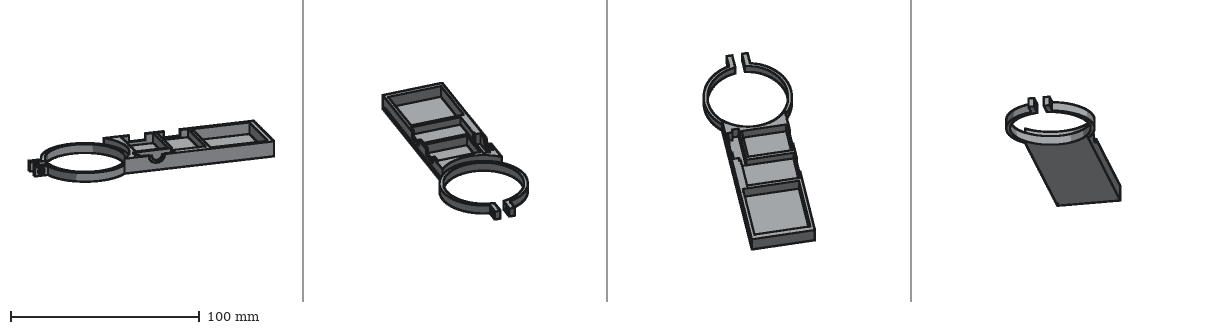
import cadquery as cq
import math

length = 130.1
height = 8.5

ring_diameter = 47.0
ring_wall = 2.1
ring_height = 5.0
ring_radius = ring_diameter / 2
bore_radius = ring_radius - ring_wall
ring_y = 29.9

gap = 5.2
tab_thickness = 3.1
tab_hole_diameter = 3.5
tab_hole_y = 3.5
tab_outer_x = gap / 2 + tab_thickness

tray_width = 34.1
side_x = tray_width / 2
end_wall = 3.0
divider = 2.0
thin_wall = 1.2
left_x = -side_x + thin_wall

large_pocket_width = 30.2
large_pocket_length = 32.1
large_floor = 2.0
large_pocket_top = length - end_wall
large_pocket_bottom = large_pocket_top - large_pocket_length

middle_pocket_width = 28.4
middle_pocket_length = 17.5
middle_floor = 3.9
middle_pocket_top = large_pocket_bottom - divider
middle_pocket_bottom = middle_pocket_top - middle_pocket_length

lower_pocket_width = 24.0
lower_pocket_length = 18.1
lower_floor = 2.9
lower_pocket_top = middle_pocket_bottom - divider
lower_pocket_bottom = lower_pocket_top - lower_pocket_length

slot_left_x = 9.5
slot_step_x = 13.1
slot_right_x = side_x - thin_wall
slot_floor = 2.0

notch_length = 9.2
notch_floor = ring_height
notch_setback = 4.3

opening_inner_radius = 4.5
opening_outer_radius = 3.0
opening_step = 0.7
opening_y = (lower_pocket_top + lower_pocket_bottom) / 2

groove_radius = 0.9
groove_z = 1.0
groove_end_wall = 2.1


def block(x_min, x_max, y_min, y_max, z_min, z_max):
    """Axis-aligned box given by its limits."""
    size = (x_max - x_min, y_max - y_min, z_max - z_min)
    return cq.Workplane("XY").box(*size, centered=False).translate((x_min, y_min, z_min))


def disc(radius, z_min, z_max):
    """Solid cylinder on the ring axis."""
    return cq.Workplane("XY", origin=(0, ring_y, z_min)).circle(radius).extrude(z_max - z_min)


def make_tray():
    tray = block(-side_x, side_x, ring_y, length, 0, height)

    tray = tray.cut(block(-large_pocket_width / 2, large_pocket_width / 2,
                          large_pocket_bottom, large_pocket_top, large_floor, height))
    tray = tray.cut(block(left_x, left_x + middle_pocket_width,
                          middle_pocket_bottom, middle_pocket_top, middle_floor, height))
    tray = tray.cut(block(left_x, left_x + lower_pocket_width,
                          lower_pocket_bottom, lower_pocket_top, lower_floor, height))

    tray = tray.cut(block(slot_left_x, slot_step_x, lower_pocket_bottom - divider,
                          middle_pocket_bottom, slot_floor, height))
    tray = tray.cut(block(slot_left_x, slot_right_x, lower_pocket_bottom,
                          lower_pocket_top, slot_floor, height))

    for pocket_top in (middle_pocket_top, lower_pocket_top):
        notch_top = pocket_top - notch_setback
        tray = tray.cut(block(-side_x, left_x, notch_top - notch_length, notch_top,
                              notch_floor, height))

    for radius, depth in ((opening_inner_radius, opening_step), (opening_outer_radius, thin_wall)):
        opening = cq.Solid.makeCylinder(radius, depth, cq.Vector(slot_right_x, opening_y, height),
                                        cq.Vector(1, 0, 0))
        tray = tray.cut(cq.Workplane(opening))

    return tray.cut(disc(ring_radius, 0, height))


def make_clamp():
    tabs = block(-tab_outer_x, tab_outer_x, 0, ring_y, 0, ring_height)
    clamp = disc(ring_radius, 0, ring_height).union(tabs)
    clamp = clamp.cut(disc(bore_radius, 0, ring_height))
    clamp = clamp.cut(block(-gap / 2, gap / 2, 0, ring_y, 0, ring_height))
    hole = cq.Solid.makeCylinder(tab_hole_diameter / 2, 2 * tab_outer_x,
                                 cq.Vector(-tab_outer_x, tab_hole_y, ring_height / 2),
                                 cq.Vector(1, 0, 0))
    return clamp.cut(cq.Workplane(hole))


def make_groove():
    """Groove cutter that stops where the outside of the ring meets the tray side."""
    start_y = ring_y + math.sqrt(ring_radius**2 - side_x**2)
    groove_length = length - groove_end_wall - start_y
    groove = cq.Solid.makeCylinder(groove_radius, groove_length,
                                   cq.Vector(-side_x, start_y, groove_z), cq.Vector(0, 1, 0))
    return cq.Workplane(groove)


result = make_tray().union(make_clamp()).cut(make_groove())